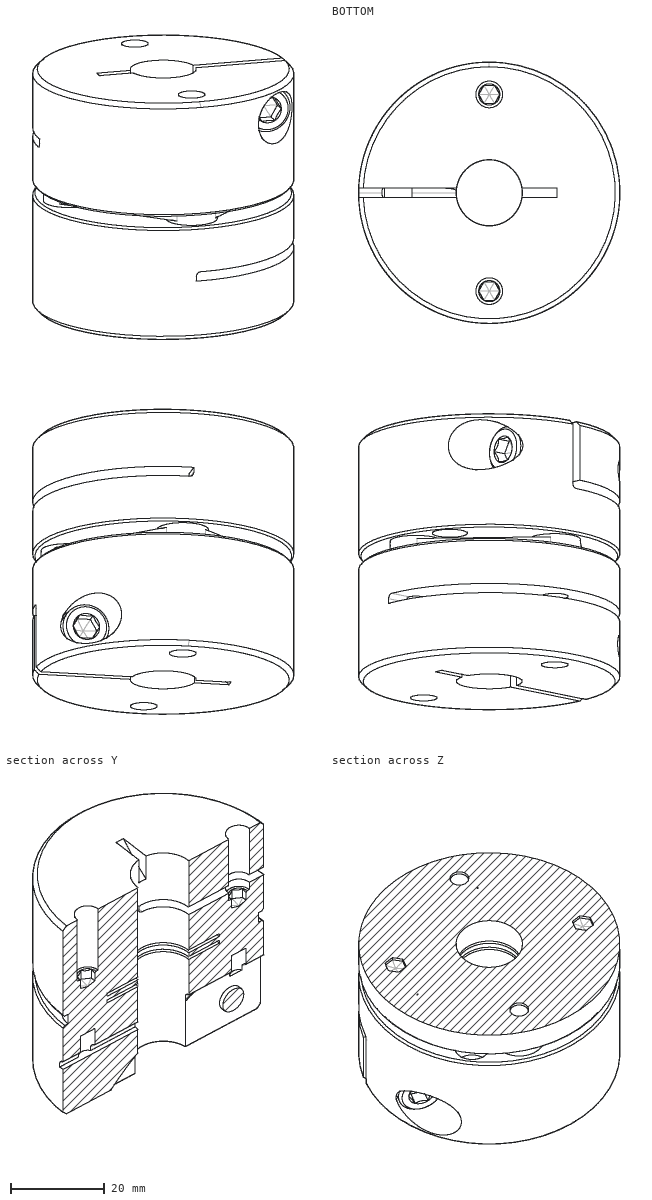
import cadquery as cq
import math


outer_diameter = 56.0
outer_radius = outer_diameter / 2
overall_height = 52.6
hub_top = overall_height / 2
gap_height = 2.5
hub_base = gap_height / 2
bore_diameter = 14.1
end_chamfer = 1.0
gap_chamfer = 0.5

slot_width = 2.0
slot_end = slot_width / 2
slot_bottom = 11.25
slot_top = slot_bottom + slot_width
slot_middle = slot_bottom + slot_end
slit_end_y = -14.55
slit_level_y = 10.1
saw_radius = 50.0

screw_y = 19.5
screw_z = 19.25
screw_diameter = 6.0
screw_tip_x = -10.5
head_diameter = 10.0
head_height = 6.0
head_face_x = 13.45
head_seat_x = head_face_x - head_height
head_chamfer = 0.6
head_socket_corners = 5.75
socket_depth = 3.0
counterbore_diameter = 11.0
tapped_hole_diameter = 5.0

pitch_radius = 21.05
access_hole_diameter = 5.7
access_floor = 9.25
disc_socket_corners = 4.55
disc_socket_depth = 2.5
disc_thread_diameter = 3.9
disc_thread_floor = 6.7

socket_point_slope = 15.0
socket_point_width = 0.05

pocket_x = 20.65
pocket_y = 10.5
pocket_diameter = 7.5
pocket_depth = 6.0

disc_thickness = 1.2
disc_corner_radius = 5.5
washer_diameter = 11.05


def cylinder_x(diameter, x_start, x_end):
    """Cylinder on the clamp screw axis between two X positions."""
    return (
        cq.Workplane("YZ", origin=(x_start, screw_y, screw_z))
        .circle(diameter / 2)
        .extrude(x_end - x_start)
    )


def cylinder_z(diameter, x, y, z_start, z_end):
    """Cylinder parallel to Z between two heights."""
    return (
        cq.Workplane("XY", origin=(x, y, z_start))
        .circle(diameter / 2)
        .extrude(z_end - z_start)
    )


def hex_socket(workplane, corners, depth):
    """Hexagonal socket sunk below the workplane, with a coned mouth and a pointed floor."""
    flats = corners * math.cos(math.pi / 6)
    mouth_depth = (corners - flats) / 2
    point_depth = flats / 2 * math.tan(math.radians(socket_point_slope))
    prism = workplane.polygon(6, corners).extrude(-depth)
    mouth = (
        workplane.circle(corners / 2)
        .workplane(offset=-mouth_depth)
        .circle(flats / 2)
        .loft()
    )
    point = (
        workplane.workplane(offset=-depth)
        .polygon(6, corners)
        .workplane(offset=-point_depth)
        .polygon(6, socket_point_width)
        .loft(ruled=True)
    )
    return prism.union(mouth).union(point)


def hub_body():
    body = cylinder_z(outer_diameter, 0, 0, hub_base, hub_top)
    body = body.faces(">Z").chamfer(end_chamfer)
    body = body.faces("<Z").chamfer(gap_chamfer)
    return body.cut(cylinder_z(bore_diameter, 0, 0, hub_base, hub_top))


def clamp_slot():
    """Round-ended slot under the clamp arm; its upper corner is square on the -Y half."""
    slot = (
        cq.Workplane("XZ", origin=(0, outer_radius, 0))
        .moveTo(-outer_radius, slot_bottom)
        .lineTo(0, slot_bottom)
        .threePointArc((slot_end, slot_middle), (0, slot_top))
        .lineTo(-outer_radius, slot_top)
        .close()
        .extrude(outer_diameter)
    )
    square_corner = cq.Workplane("XY").box(
        slot_end, outer_radius, slot_top - slot_middle, centered=False
    )
    return slot.union(square_corner.translate((0, -outer_radius, slot_middle)))


def clamp_slit():
    """Slit through the +Y rim and across the bore, with a saw-cut arc as its floor."""
    return (
        cq.Workplane("YZ", origin=(-slot_end, 0, 0))
        .moveTo(slit_end_y, hub_top)
        .radiusArc((slit_level_y, slot_middle), -saw_radius)
        .lineTo(outer_radius, slot_middle)
        .lineTo(outer_radius, hub_top)
        .close()
        .extrude(slot_width)
    )


def clamp_screw():
    shank = cylinder_x(screw_diameter, screw_tip_x, head_seat_x)
    head = cylinder_x(head_diameter, head_seat_x, head_face_x)
    head = head.faces(">X").chamfer(head_chamfer)
    face = cq.Workplane("YZ", origin=(head_face_x, screw_y, screw_z))
    return shank.union(head).cut(hex_socket(face, head_socket_corners, socket_depth))


def disc_screw_holes():
    """Blind access holes ending on the socketed screw heads, and the threads between them."""
    holes = cq.Workplane("XY")
    for side in (-1, 1):
        position = side * pitch_radius
        holes = holes.add(cylinder_z(access_hole_diameter, position, 0, access_floor, hub_top))
        floor = cq.Workplane("XY", origin=(position, 0, access_floor))
        floor = floor.transformed(rotate=(0, 0, 90))
        holes = holes.add(hex_socket(floor, disc_socket_corners, disc_socket_depth))
        holes = holes.add(
            cylinder_z(disc_thread_diameter, 0, position, disc_thread_floor, slot_top)
        )
    return holes.combine()


def upper_hub():
    hub = hub_body()
    hub = hub.cut(clamp_slot())
    hub = hub.cut(clamp_slit())
    hub = hub.cut(cylinder_x(counterbore_diameter, head_seat_x, outer_radius))
    hub = hub.cut(cylinder_x(tapped_hole_diameter, -outer_radius, screw_tip_x))
    hub = hub.cut(disc_screw_holes())
    hub = hub.cut(
        cylinder_z(pocket_diameter, pocket_x, pocket_y, hub_base, hub_base + pocket_depth)
    )
    return hub.union(clamp_screw())


def disc_pack():
    """Round-cornered square disc with its corners at the screws, and a washer pair on each."""
    disc_side = 2 * (pitch_radius / math.sqrt(2) + disc_corner_radius)
    pack = (
        cq.Workplane("XY")
        .box(disc_side, disc_side, disc_thickness)
        .edges("|Z")
        .fillet(disc_corner_radius)
        .rotate((0, 0, 0), (0, 0, 1), 45)
        .cut(cylinder_z(bore_diameter, 0, 0, -hub_base, hub_base))
    )
    for x, y in ((1, 0), (0, 1), (-1, 0), (0, -1)):
        pack = pack.union(
            cylinder_z(washer_diameter, x * pitch_radius, y * pitch_radius, -hub_base, hub_base)
        )
    return pack


hub_above = upper_hub()
hub_below = hub_above.rotate((0, 0, 0), (1, -1, 0), 180)
result = hub_above.union(disc_pack()).union(hub_below)